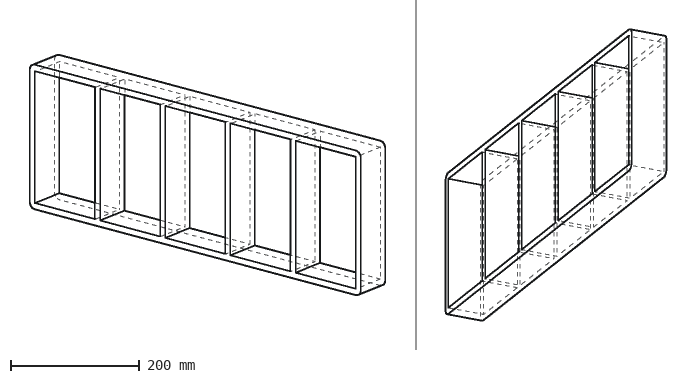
import cadquery as cq

length = 662.5
depth = 60.0
height = 238.0

wall = 10.5
corner_radius = wall
window_count = 5
window_width = (length - (window_count + 1) * wall) / window_count
window_height = height - 2 * wall
window_pitch = window_width + wall


def frame_body():
    """Solid block with its four long outer corners rounded."""
    return cq.Workplane("XY").box(length, depth, height).edges("|Y").fillet(corner_radius)


def windows():
    """Row of equal rectangular openings running through the depth."""
    return (
        cq.Workplane("XZ")
        .rarray(window_pitch, 6.5, window_count, 1)
        .rect(window_width, window_height)
        .extrude(depth, both=True)
    )


result = frame_body().cut(windows())